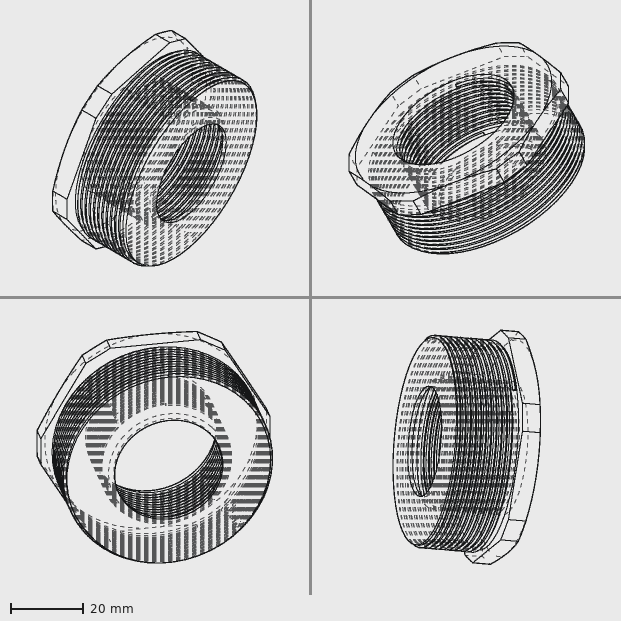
import cadquery as cq
import math

length = 24.0
flange_thickness = 6.0
across_flats = 60.0
across_cut_corners = 64.7
chamfer_depth = 0.9

core_radius = 57.5 / 2

bore_radius = 37.0 / 2
taper_start = 20.3
taper_end_radius = 33.5 / 2
lip_start = 22.75
outlet_radius = 30.5 / 2

eleven_turn_span = 16.5
pitch = eleven_turn_span / 11
ridge_width = 1.0
ridge_height = 0.7
ridge_overlap = 0.1
external_turns = 11.2
internal_turns = 12


def hexagon_prism(flats, thickness, turn):
    """Hexagon along +X; at turn 0 one pair of flats faces +Z and -Z."""
    corner_diameter = flats / math.cos(math.pi / 6)
    prism = cq.Workplane("YZ").polygon(6, corner_diameter).extrude(thickness)
    return prism.rotate((0, 0, 0), (1, 0, 0), turn)


def make_flange():
    """Hexagon with each corner cut flat and its front edge chamfered."""
    flange = hexagon_prism(across_flats, flange_thickness, 0)
    flange = flange.intersect(hexagon_prism(across_cut_corners, flange_thickness, 30))

    face_radius = across_flats / 2
    half_cut = across_cut_corners / 2
    half_cut_width = (face_radius / math.cos(math.pi / 6) - half_cut) * math.tan(math.pi / 3)
    corner_radius = math.hypot(half_cut, half_cut_width)
    envelope = (
        cq.Workplane("XY")
        .polyline([
            (0, 0),
            (0, face_radius),
            (chamfer_depth, corner_radius),
            (flange_thickness, corner_radius),
            (flange_thickness, 0),
        ])
        .close()
        .revolve(360, (0, 0, 0), (1, 0, 0))
    )
    return flange.intersect(envelope)


def make_bore():
    """Bore that tapers towards a flat lip around the outlet hole."""
    return (
        cq.Workplane("XY")
        .polyline([
            (0, 0),
            (0, bore_radius),
            (taper_start, bore_radius),
            (lip_start, taper_end_radius),
            (lip_start, outlet_radius),
            (length, outlet_radius),
            (length, 0),
        ])
        .close()
        .revolve(360, (0, 0, 0), (1, 0, 0))
    )


def make_ridge(wall_radius, outward, first_x, turns):
    """Right-handed ridge along +X starting at +Z; outward is 1 or -1."""
    root_radius = wall_radius - outward * ridge_overlap
    crest_radius = wall_radius + outward * ridge_height
    half_root = ridge_width / 2 * (ridge_height + ridge_overlap) / ridge_height
    path = cq.Wire.makeHelix(pitch, pitch * turns, wall_radius)
    ridge = (
        cq.Workplane("XZ")
        .polyline([(root_radius, -half_root), (crest_radius, 0), (root_radius, half_root)])
        .close()
        .sweep(cq.Workplane(obj=path), isFrenet=True)
    )
    ridge = ridge.rotate((0, 0, 0), (0, 1, 0), 90)
    return ridge.rotate((0, 0, 0), (1, 0, 0), 180).translate((first_x, 0, 0))


external_start = length - ridge_width / 2 - pitch * external_turns
external_ridge = make_ridge(core_radius, 1, external_start, external_turns)
external_ridge = external_ridge.rotate((0, 0, 0), (1, 0, 0), -360 * external_turns)

internal_start = taper_start - ridge_width / 2 - pitch * internal_turns
internal_ridge = make_ridge(bore_radius, -1, internal_start, internal_turns)

body = cq.Workplane("YZ").circle(core_radius).extrude(length)
end_trim = cq.Workplane("YZ").circle(across_flats / 2).extrude(length)
body = body.union(external_ridge.intersect(end_trim))
body = body.union(make_flange())
body = body.cut(make_bore())
result = body.union(internal_ridge)